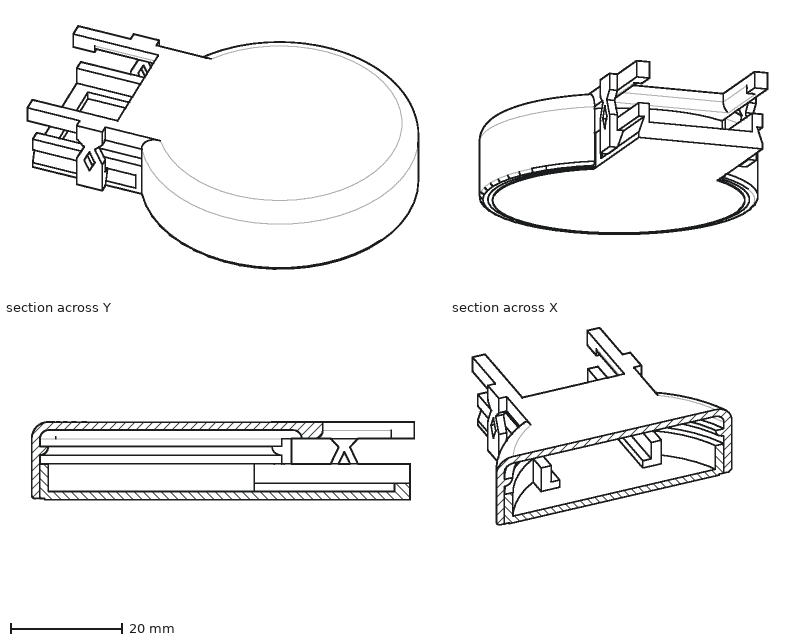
import cadquery as cq

disc_radius = 25.0
height = 14.0
neck_end = disc_radius - 68.7
wall = 1.5

top_fillet = 2 * wall
bottom_fillet = 0.6
lid_bottom = 0.2
cavity_radius = disc_radius - wall
bead_bottom = 8.05
bead_top = 9.6
bead_rounding = 1.45
neck_half_width = 12.5
arm_thickness = 2 * wall
arm_inner = 10.0
arm_tip_length = 4.1
slot_rounding = wall
slot_end = neck_end + 16.4

clip_center = neck_end + 12.6
clip_half_width = 2.5
clip_thickness = wall
clip_bottom = 0.4
clip_shoulder = 6.45
waist_height = 9.5
waist_half_width = 1.0
window_half = 1.0
window_half_height = 2.1
hook_height = 3.65
hook_reach = 1.2

base_foot_radius = 22.7
ring_inner_radius = cavity_radius - wall
ring_top = 6.45
tray_end = neck_end + 0.75
tray_half_width = 11.8
tray_inner = 9.8
tray_floor = 2 * wall
recess_floor = wall
recess_half_width = 8.2
recess_start = neck_end + 3.6
tray_inner_end = -15.0
groove_end = neck_end + 20.6
groove_bottom = 1.0
groove_top = 4.0
groove_depth = 1.0


def block(x0, x1, y0, y1, z0, z1):
    """Box between two opposite corners."""
    return cq.Workplane("XY").box(x1 - x0, y1 - y0, z1 - z0, centered=False).translate((x0, y0, z0))


def disc(radius, z0, z1):
    """Cylinder on the housing axis."""
    return cq.Workplane("XY").workplane(offset=z0).circle(radius).extrude(z1 - z0)


def mirrored(body):
    """The body together with its mirror image across the XZ plane."""
    return body.union(body.mirror("XZ"))


def make_bead():
    """Rib around the inside of the lid wall, rounded on its lower edge."""
    crest = cavity_radius - bead_rounding
    rib = disc(cavity_radius + wall / 2, bead_bottom, bead_top).cut(disc(crest, bead_bottom, bead_top))
    return rib.faces("<Z").edges(cq.selectors.RadiusNthSelector(0)).fillet(bead_rounding)


def make_neck():
    """Slotted plate forming the two arms, with the slot rounded underneath up to the square arm tips."""
    arm_bottom = height - arm_thickness
    plate = block(neck_end, 0, -neck_half_width, neck_half_width, arm_bottom, height)
    tip_end = neck_end + arm_tip_length
    tip_slot = block(neck_end, tip_end, -arm_inner, arm_inner, arm_bottom, height)
    flare = slot_rounding
    slot = block(tip_end, slot_end, -arm_inner, arm_inner, arm_bottom, height)
    rounding = block(
        tip_end, slot_end + flare, -arm_inner - flare, arm_inner + flare, arm_bottom, arm_bottom + flare
    )
    center_z = arm_bottom + flare
    for side in (-1, 1):
        arm_edge = (
            cq.Workplane("YZ", origin=(tip_end, side * (arm_inner + flare), center_z))
            .circle(flare)
            .extrude(slot_end + flare - tip_end)
        )
        rounding = rounding.cut(arm_edge)
    slot_edge = (
        cq.Workplane("XZ", origin=(slot_end + flare, arm_inner + flare, center_z))
        .circle(flare)
        .extrude(2 * (arm_inner + flare))
    )
    return plate.cut(tip_slot).cut(slot).cut(rounding.cut(slot_edge))


def make_clip():
    """Waisted snap arm on the +Y side, with a diamond window and an inward hook."""
    waist_side = [
        (waist_half_width, waist_height),
        (clip_half_width, clip_shoulder),
        (clip_half_width, clip_bottom),
    ]
    right_side = [(clip_half_width, height), (clip_half_width, height - arm_thickness)] + waist_side
    left_side = [(-x, z) for x, z in reversed(right_side)]
    diamond = [
        (0, clip_shoulder + window_half_height),
        (window_half, clip_shoulder),
        (0, clip_shoulder - window_half_height),
        (-window_half, clip_shoulder),
    ]
    plane = cq.Workplane("XZ", origin=(clip_center, neck_half_width, 0))
    plate = plane.polyline(right_side + left_side).close().extrude(-clip_thickness)
    window = plane.polyline(diamond).close().extrude(-clip_thickness)
    hook = (
        cq.Workplane("YZ", origin=(clip_center - clip_half_width, neck_half_width, 0))
        .polyline([(0, clip_bottom), (0, hook_height), (-hook_reach, hook_height)])
        .close()
        .extrude(2 * clip_half_width)
    )
    return plate.cut(window).union(hook)


def make_lid():
    """Domed cover whose roof runs out into two arms carrying the snap clips."""
    arm_bottom = height - arm_thickness
    roof_bottom = height - wall
    shell = disc(disc_radius, lid_bottom, height)
    shell = shell.faces(">Z").edges().fillet(top_fillet).faces("<Z").edges().fillet(bottom_fillet)
    cavity = disc(cavity_radius, lid_bottom, roof_bottom).faces(">Z").edges().fillet(top_fillet - wall)
    doorway = block(-disc_radius, 0, -neck_half_width, neck_half_width, lid_bottom, arm_bottom)
    lid = shell.union(make_neck()).cut(cavity).union(make_bead())
    return lid.cut(doorway).union(mirrored(make_clip()))


def make_groove():
    """Undercut along the +Y side of the tray that receives a clip hook."""
    return (
        cq.Workplane("YZ", origin=(tray_end, tray_half_width, 0))
        .polyline([(0, groove_bottom), (0, groove_top), (-groove_depth, groove_top)])
        .close()
        .extrude(groove_end - tray_end)
    )


def make_base():
    """Round dish closing the lid from below, joined to a tray under the arms."""
    dish = disc(cavity_radius, lid_bottom, ring_top).union(disc(base_foot_radius, 0, lid_bottom))
    tray = block(tray_end, tray_inner_end, -tray_half_width, tray_half_width, 0, ring_top)
    channel = block(tray_end, tray_inner_end, -tray_inner, tray_inner, tray_floor, ring_top)
    recess = block(recess_start, tray_inner_end, -recess_half_width, recess_half_width, recess_floor, tray_floor)
    base = dish.cut(disc(ring_inner_radius, recess_floor, ring_top)).union(tray)
    return base.cut(channel).cut(recess).cut(mirrored(make_groove()))


lid = make_lid()
base = make_base()
result = cq.Compound.makeCompound([lid.solids().val(), base.solids().val()])